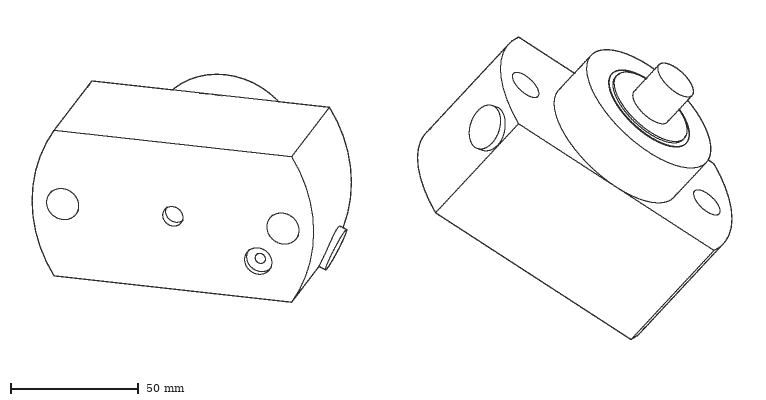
import cadquery as cq
import math

body_diameter = 115.0
flat_height = 61.7
body_depth = 53.0

boss_end = 73.8
step_diameter = 39.9
step_end = 74.2
collar_diameter = 36.2
collar_end = 75.0
shaft_diameter = 17.8
shaft_end = 91.0

mount_spacing = 90.0
mount_diameter = 13.1
center_hole_diameter = 8.2
center_hole_depth = 4.1
port_radius = 38.0
port_diameter = 11.1
port_depth = 2.9
port_pilot_diameter = 4.2

plug_angle = 23.2
plug_y = 39.9
plug_diameter = 17.9
plug_outer_radius = 59.9
plug_root_radius = 48.7
passage_diameter = 9.3
passage_inner_radius = 29.0

plug_direction = cq.Vector(
    math.cos(math.radians(plug_angle)), 0, -math.sin(math.radians(plug_angle))
)


def cylinder_along_y(diameter, start, end, x=0, z=0):
    """Cylinder parallel to Y between two depths."""
    return cq.Workplane(
        cq.Solid.makeCylinder(diameter / 2, end - start, cq.Vector(x, start, z), cq.Vector(0, 1, 0))
    )


def radial_cylinder(diameter, inner_radius, outer_radius):
    """Cylinder on the plug axis between two distances from the main axis."""
    start = plug_direction * inner_radius + cq.Vector(0, plug_y, 0)
    length = outer_radius - inner_radius
    return cq.Workplane(cq.Solid.makeCylinder(diameter / 2, length, start, plug_direction))


def make_body():
    flats = cq.Workplane().box(body_diameter, body_depth, flat_height).translate((0, body_depth / 2, 0))
    return cylinder_along_y(body_diameter, 0, body_depth).intersect(flats)


def add_stepped_shaft(solid):
    steps = (
        (flat_height, boss_end),
        (step_diameter, step_end),
        (collar_diameter, collar_end),
        (shaft_diameter, shaft_end),
    )
    start = body_depth
    for diameter, end in steps:
        solid = solid.union(cylinder_along_y(diameter, start, end))
        start = end
    return solid


def cut_mounting_holes(solid):
    for x in (-mount_spacing / 2, mount_spacing / 2):
        solid = solid.cut(cylinder_along_y(mount_diameter, 0, body_depth, x))
    return solid


def cut_port(solid):
    """Counterbored port whose pilot hole opens into the radial passage."""
    center = plug_direction * port_radius
    solid = solid.cut(cylinder_along_y(port_diameter, 0, port_depth, center.x, center.z))
    solid = solid.cut(cylinder_along_y(port_pilot_diameter, 0, plug_y, center.x, center.z))
    return solid.cut(radial_cylinder(passage_diameter, passage_inner_radius, plug_root_radius))


result = make_body()
result = add_stepped_shaft(result)
result = result.union(radial_cylinder(plug_diameter, plug_root_radius, plug_outer_radius))
result = cut_mounting_holes(result)
result = result.cut(cylinder_along_y(center_hole_diameter, 0, center_hole_depth))
result = cut_port(result)